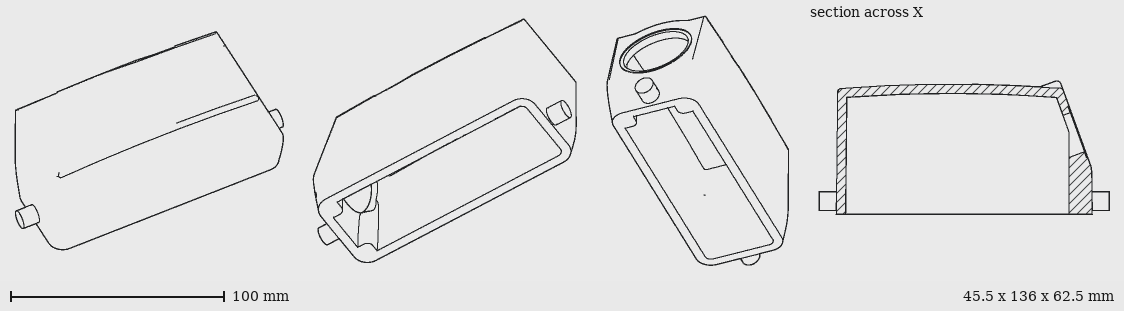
import cadquery as cq
import math

HALF_WIDTH = 22.75
HALF_LENGTH = 60.0
END_DRAFT = math.radians(0.6)
LOFT_TOP = 64.0

SKIRT_STRAIGHT = 7.0
SKIRT_TOP = 23.5
SKIRT_RADIUS = 209.0

CORNER_BASE = 7.4
CORNER_STRAIGHT = 5.2
CORNER_SKIRT_TOP = 2.05
CORNER_ROOF = 1.3
CORNER_EASING = 1.7

SLOPE = math.radians(20.0)
KNEE_RADIUS = 13.0
KNEE_BOTTOM = SKIRT_TOP - KNEE_RADIUS * math.sin(SLOPE)
SLOPE_TRIM = 0.02

ROOF_RADIUS = 640.0
ROOF_APEX_Y = -6.3
ROOF_APEX_Z = 61.1
ROOF_EDGE_RADIUS = 2.1
BARREL_DEPTH = 80.0
BARREL_HEADROOM = 5.0

ENTRY_Z = 38.65
ENTRY_DIAMETER = 32.3
ENTRY_LENGTH = 14.0
RECESS_DIAMETER = 35.9
RECESS_DEPTH = 0.5
COLLAR_RADIUS = 26.03
COLLAR_LENGTH = 30.0
COLLAR_BLEND = 2.0
COLLAR_CLIP_Z = 55.0

RIM_LOW_Z = 58.0
FRONT_RIM_Y = 44.5
BACK_RIM_Y = -58.0

WALL = 4.5
POST_GAP = 20.8
POST_INNER_Y = 49.0
POST_ROUND = 3.0

PIN_DIAMETER = 9.0
PIN_Z = 6.2
PIN_SPAN = 136.0
PIN_EMBED = 2.0

OVERSIZE = 200.0


def half_width(z):
    """Half size along X at height z."""
    if z >= SKIRT_TOP:
        return HALF_WIDTH
    drop = SKIRT_TOP - max(z, SKIRT_STRAIGHT)
    chord = math.sqrt(SKIRT_RADIUS**2 - drop**2)
    lean = drop / chord
    return HALF_WIDTH - (SKIRT_RADIUS - chord) - lean * max(SKIRT_STRAIGHT - z, 0)


def end_y(z):
    """Distance of the upright drafted ends from the middle at height z."""
    return HALF_LENGTH - z * math.tan(END_DRAFT)


def back_y(z):
    """Y of the +Y end at height z: upright, then the knee, then the slope."""
    if z <= KNEE_BOTTOM:
        return end_y(z)
    knee_rise = min(z, SKIRT_TOP) - KNEE_BOTTOM
    knee_inset = KNEE_RADIUS - math.sqrt(KNEE_RADIUS**2 - knee_rise**2)
    return end_y(KNEE_BOTTOM) - knee_inset - max(z - SKIRT_TOP, 0) * math.tan(SLOPE)


def slope_y(z):
    """Y of the flat sloping face at height z, just inside the blank."""
    return back_y(SKIRT_TOP) - SLOPE_TRIM - (z - SKIRT_TOP) * math.tan(SLOPE)


def corner_radius(z):
    """Upright corner radius at height z."""
    if z <= SKIRT_STRAIGHT:
        return CORNER_BASE + (CORNER_STRAIGHT - CORNER_BASE) * z / SKIRT_STRAIGHT
    if z <= SKIRT_TOP:
        share = (SKIRT_TOP - z) / (SKIRT_TOP - SKIRT_STRAIGHT)
        return CORNER_SKIRT_TOP + (CORNER_STRAIGHT - CORNER_SKIRT_TOP) * share**CORNER_EASING
    return CORNER_ROOF


def section(z, wall=0):
    """Rounded rectangle at height z, moved inward by the wall thickness."""
    y_front = -end_y(z) + wall
    y_back = back_y(z) - wall
    width = 2 * (half_width(z) - wall)
    radius = max(corner_radius(z) - wall, CORNER_ROOF)
    outline = cq.Sketch().rect(width, y_back - y_front).vertices().fillet(radius)
    plane = cq.Plane(origin=(0, (y_front + y_back) / 2, z))
    return outline.reset().faces().val().outerWire().moved(cq.Location(plane))


def tapered_blank():
    """Straight skirt, curved skirt and sloping upper body."""
    curve_heights = [
        SKIRT_STRAIGHT,
        (2 * SKIRT_STRAIGHT + KNEE_BOTTOM) / 3,
        (SKIRT_STRAIGHT + 2 * KNEE_BOTTOM) / 3,
        KNEE_BOTTOM,
        (KNEE_BOTTOM + SKIRT_TOP) / 2,
        SKIRT_TOP,
    ]
    curve = [section(z) for z in curve_heights]
    base = cq.Solid.makeLoft([section(0), curve[0]], True)
    skirt = cq.Solid.makeLoft(curve)
    upper = cq.Solid.makeLoft([curve[-1], section(LOFT_TOP)], True)
    return cq.Workplane(base).union(cq.Workplane(skirt)).union(cq.Workplane(upper))


def roof_cylinder(inset):
    """Large cylinder along X whose top is the roof, lowered by the inset."""
    return (
        cq.Workplane("YZ", origin=(-HALF_WIDTH, ROOF_APEX_Y, ROOF_APEX_Z - ROOF_RADIUS))
        .circle(ROOF_RADIUS - inset)
        .extrude(2 * HALF_WIDTH)
    )


def roof_edge_barrel():
    """Barrel about a low X axis that rounds the long roof edges and spares the middle."""
    straight = HALF_WIDTH - ROOF_EDGE_RADIUS
    return (
        cq.Workplane("XZ", origin=(0, ROOF_APEX_Y, ROOF_APEX_Z))
        .moveTo(-HALF_WIDTH, -BARREL_DEPTH)
        .lineTo(-HALF_WIDTH, -ROOF_EDGE_RADIUS)
        .radiusArc((-straight, 0), ROOF_EDGE_RADIUS)
        .lineTo(-straight, BARREL_HEADROOM)
        .lineTo(straight, BARREL_HEADROOM)
        .lineTo(straight, 0)
        .radiusArc((HALF_WIDTH, -ROOF_EDGE_RADIUS), ROOF_EDGE_RADIUS)
        .lineTo(HALF_WIDTH, -BARREL_DEPTH)
        .close()
        .revolve(360, (0, -ROOF_RADIUS, 0), (1, -ROOF_RADIUS, 0))
    )


def entry_disc(radius, depth):
    """Cylinder on the entry axis, running inward from the sloping face."""
    plane = cq.Plane(
        origin=(0, slope_y(ENTRY_Z), ENTRY_Z),
        xDir=(-1, 0, 0),
        normal=(0, math.cos(SLOPE), math.sin(SLOPE)),
    )
    return cq.Workplane(plane).circle(radius).extrude(-depth)


def collar():
    """Upper part of the collar around the cable entry."""
    above = cq.Workplane().box(2 * HALF_WIDTH, OVERSIZE, OVERSIZE, centered=(True, True, False))
    return entry_disc(COLLAR_RADIUS, COLLAR_LENGTH).intersect(above.translate((0, 0, COLLAR_CLIP_Z)))


def side_shape():
    """Prism with the side outline of the hood and the collar, roof ends rounded."""
    prism = (
        cq.Workplane("YZ", origin=(-HALF_WIDTH, 0, 0))
        .moveTo(-end_y(0), 0)
        .lineTo(-end_y(LOFT_TOP), LOFT_TOP)
        .lineTo(slope_y(LOFT_TOP), LOFT_TOP)
        .lineTo(slope_y(0), 0)
        .close()
        .extrude(2 * HALF_WIDTH)
        .intersect(roof_cylinder(0))
    )
    blended = prism.union(collar()).edges("%BSPLINE").fillet(COLLAR_BLEND)
    front_rim = cq.selectors.BoxSelector(
        (-HALF_WIDTH, FRONT_RIM_Y, RIM_LOW_Z), (HALF_WIDTH, HALF_LENGTH, LOFT_TOP)
    )
    back_rim = cq.selectors.BoxSelector(
        (-HALF_WIDTH, -HALF_LENGTH, RIM_LOW_Z), (HALF_WIDTH, BACK_RIM_Y, LOFT_TOP)
    )
    return blended.edges(front_rim + back_rim).fillet(ROOF_EDGE_RADIUS)


def corner_posts():
    """Two rounded posts filling the inner corners at the +Y end."""
    post = (
        cq.Workplane()
        .box(HALF_WIDTH - POST_GAP / 2, HALF_LENGTH - POST_INNER_Y, OVERSIZE, centered=False)
        .edges("|Z and <X and <Y")
        .fillet(POST_ROUND)
        .translate((POST_GAP / 2, POST_INNER_Y, 0))
    )
    return post.union(post.mirror("YZ"))


def cavity():
    """Open-bottomed hollow, clear of the corner posts."""
    heights = [0, SKIRT_STRAIGHT, SKIRT_TOP, LOFT_TOP]
    hollow = cq.Workplane(cq.Solid.makeLoft([section(z, WALL) for z in heights], True))
    return hollow.intersect(roof_cylinder(WALL)).cut(corner_posts())


def pins():
    """Round locking pins on both ends, rooted in the end walls."""
    length = PIN_SPAN / 2 - HALF_LENGTH + PIN_EMBED
    pin = (
        cq.Workplane("XZ", origin=(0, -PIN_SPAN / 2, PIN_Z))
        .circle(PIN_DIAMETER / 2)
        .extrude(-length)
    )
    return pin.union(pin.mirror("XZ"))


hood = side_shape().intersect(tapered_blank()).intersect(roof_edge_barrel())
hood = hood.cut(cavity())
hood = hood.cut(entry_disc(ENTRY_DIAMETER / 2, ENTRY_LENGTH))
hood = hood.cut(entry_disc(RECESS_DIAMETER / 2, RECESS_DEPTH))
result = hood.union(pins())